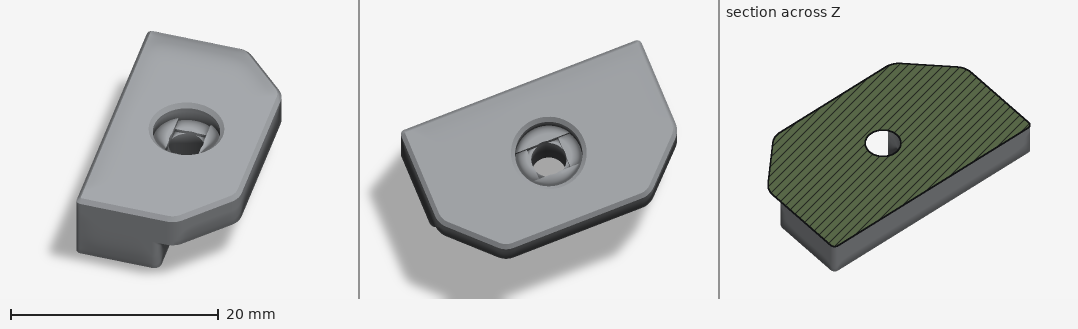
import cadquery as cq

width = 15.0
length = 25.0
height = 7.0
ledge_height = height / 2
foot_width = 8.45

corner_cut = 5.0
cut_radius = 2.0
back_radius = 0.5
foot_radius = 0.75
top_chamfer = 0.4

hole_x = width / 2
hole_diameter = 3.4
head_diameter = 6.5
head_depth = 1.6
relief_width = 3.25
relief_step = 0.35


def make_plate():
    """Overhanging upper half with cut corners and a chamfered top rim."""
    half = length / 2
    plate = (
        cq.Workplane("XY", origin=(0, 0, ledge_height))
        .moveTo(0, -half)
        .lineTo(width - corner_cut, -half)
        .lineTo(width, -half + corner_cut)
        .lineTo(width, half - corner_cut)
        .lineTo(width - corner_cut, half)
        .lineTo(0, half)
        .close()
        .extrude(height - ledge_height)
    )
    plate = plate.edges("|Z").edges("<X").fillet(back_radius)
    plate = plate.edges("|Z").edges(cq.selectors.BoxSelector(
        (width / 2, -length, 0), (2 * width, length, height))).fillet(cut_radius)
    return plate.faces(">Z").chamfer(top_chamfer)


def make_foot():
    """Narrow lower half along the X = 0 side."""
    foot = cq.Workplane("XY").box(foot_width, length, ledge_height, centered=(False, True, False))
    foot = foot.edges("|Z and <X").fillet(back_radius)
    return foot.edges("|Z and >X").fillet(foot_radius)


def make_screw_hole():
    """Cutter: head recess, full-length slot, square step and through hole."""
    recess_floor = height - head_depth
    slot_floor = recess_floor - relief_step
    square_floor = slot_floor - relief_step

    def level(z):
        return cq.Workplane("XY", origin=(hole_x, 0, z))

    through = level(0).circle(hole_diameter / 2).extrude(height)
    recess = level(recess_floor).circle(head_diameter / 2).extrude(head_depth)
    slot = (
        level(slot_floor).rect(relief_width, head_diameter).extrude(relief_step)
        .intersect(level(slot_floor).circle(head_diameter / 2).extrude(relief_step))
    )
    square = level(square_floor).rect(relief_width, relief_width).extrude(relief_step)
    countersink = (
        level(height).circle(head_diameter / 2 + top_chamfer)
        .extrude(-top_chamfer, taper=45)
    )
    return through.union(recess).union(slot).union(square).union(countersink)


result = make_plate().union(make_foot()).cut(make_screw_hole())